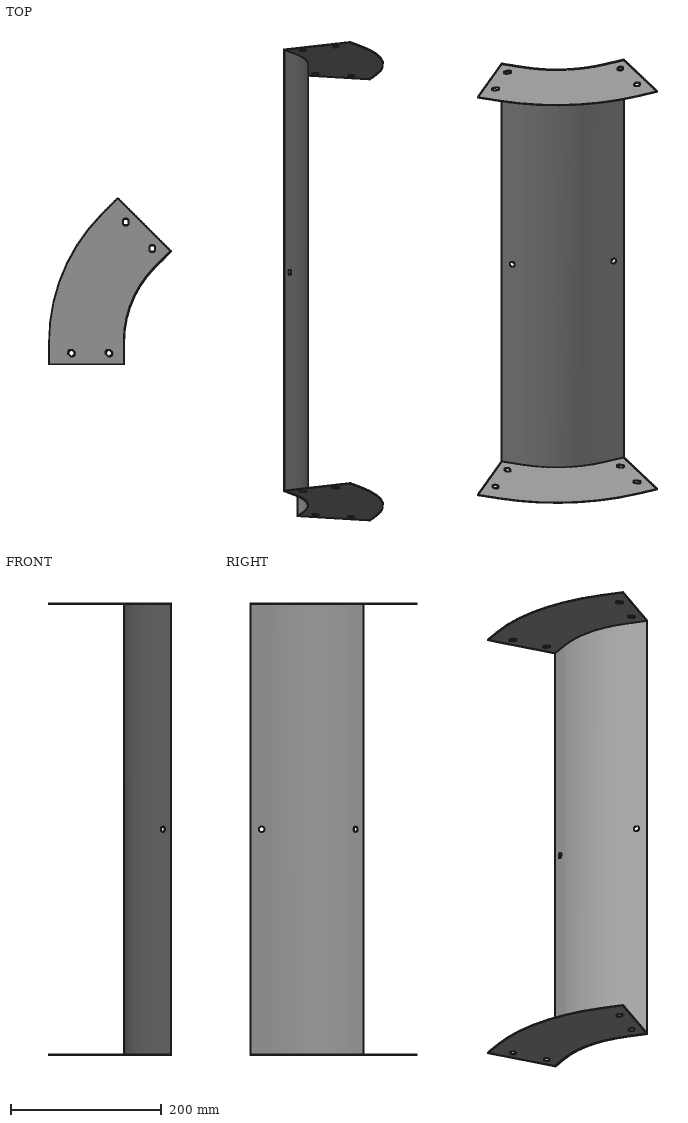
import cadquery as cq
import math

height = 600.0
sheet = 1.0
width = 100.0
inner_radius = 140.0
straight = 30.0
bend_angle = 45.0

plate_slot_width = 7.0
plate_slot_length = 10.0
slot_tilt = 45.0
wall_hole_diameter = 7.0
plate_slot_offsets = (30.0, 80.0)
hole_setback = straight / 2

center_x = width + inner_radius
angle = math.radians(bend_angle)


def path_point(offset, beyond_bend):
    """Point past the bend, at a distance from the large-radius edge."""
    radius = center_x - offset
    x = center_x - radius * math.cos(angle) + beyond_bend * math.sin(angle)
    y = straight + radius * math.sin(angle) + beyond_bend * math.cos(angle)
    return x, y


def bend_midpoint(offset):
    radius = center_x - offset
    x = center_x - radius * math.cos(angle / 2)
    y = straight + radius * math.sin(angle / 2)
    return x, y


def curved_strip(near, far, thickness, base):
    """Straight-bend-straight strip between two offsets, extruded along Z."""
    return (
        cq.Workplane("XY", origin=(0, 0, base))
        .moveTo(near, 0)
        .lineTo(near, straight)
        .threePointArc(bend_midpoint(near), path_point(near, 0))
        .lineTo(*path_point(near, straight))
        .lineTo(*path_point(far, straight))
        .lineTo(*path_point(far, 0))
        .threePointArc(bend_midpoint(far), (far, straight))
        .lineTo(far, 0)
        .close()
        .extrude(thickness)
    )


def plate_slot(position, direction, base):
    """Cutter for a slot through the plate at height base; direction in degrees."""
    return (
        cq.Workplane("XY", origin=(*position, base))
        .slot2D(plate_slot_length, plate_slot_width, direction)
        .extrude(sheet)
    )


def wall_hole(position, direction):
    """Cutter centred on the wall and running along its normal."""
    plane = cq.Plane(origin=(*position, height / 2), xDir=(0, 0, 1), normal=direction)
    return cq.Workplane(plane).circle(wall_hole_diameter / 2).extrude(2 * sheet, both=True)


wall = curved_strip(width - sheet, width, height, 0)
bottom_plate = curved_strip(0, width, sheet, 0)
top_plate = curved_strip(0, width, sheet, height - sheet)
result = wall.union(bottom_plate).union(top_plate)

for base, tilt in ((0, slot_tilt), (height - sheet, -slot_tilt)):
    for offset in plate_slot_offsets:
        first_end_slot = plate_slot((offset, hole_setback), tilt, base)
        second_end_slot = plate_slot(path_point(offset, straight - hole_setback), tilt - bend_angle, base)
        result = result.cut(first_end_slot).cut(second_end_slot)

end_normal = (math.cos(angle), -math.sin(angle), 0)
result = result.cut(wall_hole((width, hole_setback), (1, 0, 0)))
result = result.cut(wall_hole(path_point(width, straight - hole_setback), end_normal))